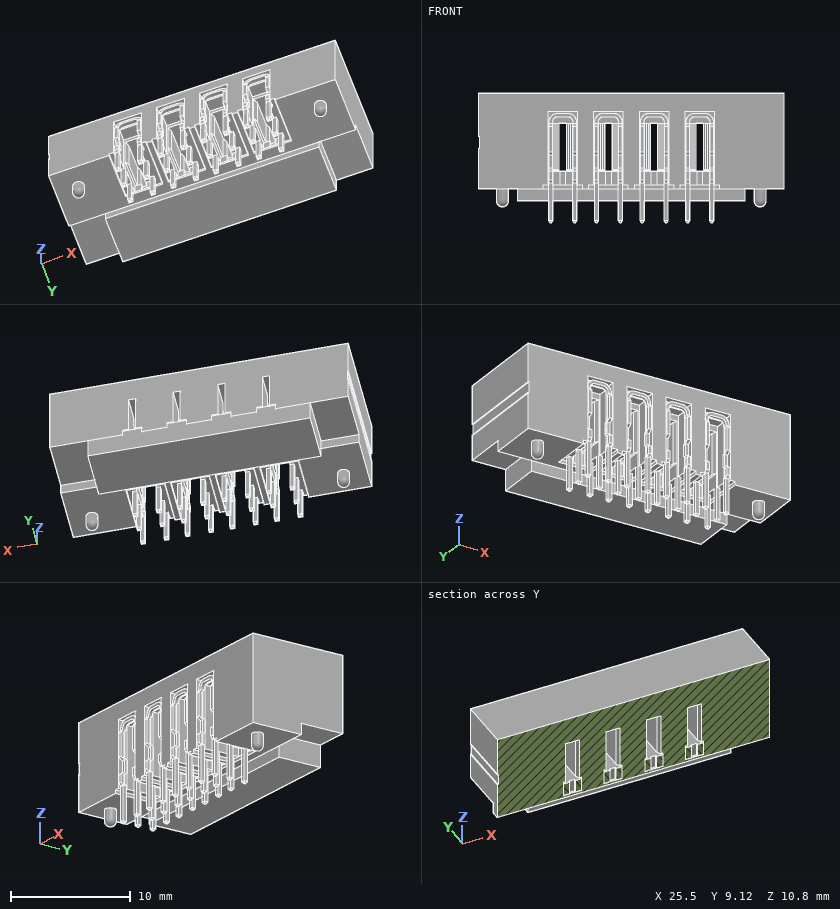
import cadquery as cq

LENGTH = 25.5
DEPTH = 9.12
HEIGHT = 8.0
OVERCUT = 1.0

STATIONS = 4
PITCH = 3.81
STATION_X = [(i - (STATIONS - 1) / 2) * PITCH for i in range(STATIONS)]

ROWS = 3
PIN_SIZE = 0.36
PIN_SPACING = 2.0
ROW_PITCH = 1.5
FIRST_ROW_Y = 0.35
PIN_FRONT_Y = FIRST_ROW_Y - PIN_SIZE / 2
ROW_Y = [FIRST_ROW_Y + i * ROW_PITCH for i in range(ROWS)]
PIN_BOTTOM = -2.82
PIN_TIP_HEIGHT = 0.17
PIN_TIP_SIZE = 0.1
PIN_TOP = 0.58
PIN_INNER_WIDTH = PIN_SPACING - PIN_SIZE

WINDOW_WIDTH = 2.46
WINDOW_TOP = 6.46
RELIEF_WIDTH = 3.3
RELIEF_HEIGHT = 0.31
RELIEF_END_Y = 4.0

ARCH_WIDTH = 2.3
ARCH_BAND = 0.3
ARCH_TOP = 6.31
ARCH_SPRING_Z = 5.5
ARCH_CORNER = 0.73
ARCH_INNER_CORNER = ARCH_CORNER - ARCH_BAND

LEG_THICKNESS = 0.3
LEG_BULGE_Y = 0.0
LEG_RECESS_Y = 0.36
UPPER_BULGE_Z = (2.95, 5.35)
LOWER_BULGE_Z = (0.62, 1.62)
LEG_BEND_HEIGHT = 0.26

WINDOW_DEPTH = LEG_RECESS_Y + LEG_THICKNESS
INNER_POCKET_WIDTH = 1.9
INNER_POCKET_DEPTH = 1.65

SLOT_TOP = 5.47
SLOT_BOTTOM = 1.6
SLOT_REAR_WIDTH = 0.6
SLOT_STEPS = 3
SLOT_SLANT_LENGTH = 0.4

INSERT_LENGTH = 19.0
INSERT_DEPTH = 4.22
INSERT_TOP = 1.0
INSERT_BOTTOM = -1.0
INSERT_FRONT_Y = DEPTH - INSERT_DEPTH
TONGUE_TOP = 1.48
TONGUE_GROOVE_WIDTH = 0.5
TONGUE_GROOVE_DEPTH = 0.3

PEG_DIAMETER = 1.0
PEG_LENGTH = 1.5
PEG_SPACING = 21.5
PEG_Y = 1.83
GROOVE_BOTTOM = 3.38
GROOVE_HEIGHT = 1.0
GROOVE_DEPTH = 0.07


def block(width, x, y_range, z_range):
    """Box of the given width centred on x, between two Y and two Z limits."""
    y_min, y_max = y_range
    z_min, z_max = z_range
    return (
        cq.Workplane("XY")
        .box(width, y_max - y_min, z_max - z_min, centered=(True, False, False))
        .translate((x, y_min, z_min))
    )


def tapered_slot(x):
    """Through slot whose side walls alternate straight and slanted stretches."""
    half_front = PIN_INNER_WIDTH / 2
    half_rear = SLOT_REAR_WIDTH / 2
    step_in = (half_front - half_rear) / SLOT_STEPS
    step_length = (DEPTH - INNER_POCKET_DEPTH) / SLOT_STEPS
    wall = [(half_front, WINDOW_DEPTH)]
    for i in range(SLOT_STEPS):
        y_start = INNER_POCKET_DEPTH + i * step_length
        wall.append((half_front - i * step_in, y_start))
        wall.append((half_front - (i + 1) * step_in, y_start + SLOT_SLANT_LENGTH))
    wall.append((half_rear, DEPTH + OVERCUT))
    mirrored = [(-half, y) for half, y in reversed(wall)]
    return (
        cq.Workplane("XY", origin=(x, 0, SLOT_BOTTOM))
        .polyline(wall + mirrored)
        .close()
        .extrude(SLOT_TOP - SLOT_BOTTOM)
    )


def station_cavity(x):
    """Everything removed from the housing at one station."""
    arch_inner_top = ARCH_TOP - ARCH_BAND
    window = block(WINDOW_WIDTH, x, (-OVERCUT, WINDOW_DEPTH), (-OVERCUT, WINDOW_TOP))
    inner = block(INNER_POCKET_WIDTH, x, (0, INNER_POCKET_DEPTH), (-OVERCUT, arch_inner_top))
    relief = block(RELIEF_WIDTH, x, (-OVERCUT, RELIEF_END_Y), (-OVERCUT, RELIEF_HEIGHT))
    front_channel = block(PIN_INNER_WIDTH, x, (0, RELIEF_END_Y), (-OVERCUT, SLOT_BOTTOM))
    rear_channel = block(PIN_INNER_WIDTH, x, (0, DEPTH + OVERCUT), (RELIEF_HEIGHT, SLOT_BOTTOM))
    cavity = window.union(inner).union(relief).union(front_channel).union(rear_channel)
    return cavity.union(tapered_slot(x))


def pin(x, y):
    """Square pin with a pyramid tip, pointing down."""
    shank_bottom = PIN_BOTTOM + PIN_TIP_HEIGHT
    y_range = (y - PIN_SIZE / 2, y + PIN_SIZE / 2)
    shank = block(PIN_SIZE, x, y_range, (shank_bottom, PIN_TOP))
    tip = (
        cq.Workplane("XY", origin=(x, y, shank_bottom))
        .rect(PIN_SIZE, PIN_SIZE)
        .workplane(offset=-PIN_TIP_HEIGHT)
        .rect(PIN_TIP_SIZE, PIN_TIP_SIZE)
        .loft()
    )
    return shank.union(tip)


def bent_leg(x):
    """Flat leg that bulges forward twice between the arch and the pin below it."""
    half_bend = LEG_BEND_HEIGHT / 2
    plain_y = PIN_FRONT_Y
    lower_start, lower_end = LOWER_BULGE_Z
    upper_start, upper_end = UPPER_BULGE_Z
    bends = [
        (plain_y, lower_start, LEG_BULGE_Y),
        (LEG_BULGE_Y, lower_end, LEG_RECESS_Y),
        (LEG_RECESS_Y, upper_start, LEG_BULGE_Y),
        (LEG_BULGE_Y, upper_end, plain_y),
    ]
    front = [(plain_y, 0)]
    for y_below, z, y_above in bends:
        front.append((y_below, z - half_bend))
        front.append((y_above, z + half_bend))
    front.append((plain_y, ARCH_SPRING_Z))
    back = [(y + LEG_THICKNESS, z) for y, z in reversed(front)]
    return (
        cq.Workplane("YZ", origin=(x - ARCH_BAND / 2, 0, 0))
        .polyline(front + back)
        .close()
        .extrude(ARCH_BAND)
    )


def arch(x):
    """Rounded arch with a bent leg on each side."""
    y_range = (PIN_FRONT_Y, PIN_FRONT_Y + PIN_SIZE)
    outer = block(ARCH_WIDTH, x, y_range, (ARCH_SPRING_Z, ARCH_TOP))
    outer = outer.edges("|Y and >Z").fillet(ARCH_CORNER)
    inner = block(ARCH_WIDTH - 2 * ARCH_BAND, x, y_range, (ARCH_SPRING_Z, ARCH_TOP - ARCH_BAND))
    inner = inner.edges("|Y and >Z").fillet(ARCH_INNER_CORNER)
    wire = outer.cut(inner)
    for side in (-1, 1):
        wire = wire.union(bent_leg(x + side * PIN_SPACING / 2))
    return wire


def peg(x):
    """Round peg with a domed end."""
    radius = PEG_DIAMETER / 2
    return (
        cq.Workplane("XY", origin=(x, PEG_Y, 0))
        .circle(radius)
        .extrude(radius - PEG_LENGTH)
        .union(cq.Workplane("XY", origin=(x, PEG_Y, radius - PEG_LENGTH)).sphere(radius))
    )


def make_housing():
    """Housing with its arches, pins and pegs as one solid."""
    housing = block(LENGTH, 0, (0, DEPTH), (0, HEIGHT))
    housing = housing.cut(block(LENGTH, 0, (INSERT_FRONT_Y, DEPTH), (0, INSERT_TOP)))
    groove_z = (GROOVE_BOTTOM, GROOVE_BOTTOM + GROOVE_HEIGHT)
    housing = housing.cut(block(2 * GROOVE_DEPTH, -LENGTH / 2, (0, DEPTH), groove_z))
    for x in STATION_X:
        housing = housing.cut(station_cavity(x))
        housing = housing.union(arch(x))
        for side in (-1, 1):
            for y in ROW_Y:
                housing = housing.union(pin(x + side * PIN_SPACING / 2, y))
    for side in (-1, 1):
        housing = housing.union(peg(side * PEG_SPACING / 2))
    return housing


def make_insert():
    """Rear block with a grooved tongue reaching into each station."""
    insert = block(INSERT_LENGTH, 0, (INSERT_FRONT_Y, DEPTH), (INSERT_BOTTOM, INSERT_TOP))
    groove_end_y = RELIEF_END_Y + TONGUE_GROOVE_DEPTH
    for x in STATION_X:
        tongue = block(PIN_INNER_WIDTH, x, (RELIEF_END_Y, DEPTH), (RELIEF_HEIGHT, TONGUE_TOP))
        groove = block(TONGUE_GROOVE_WIDTH, x, (RELIEF_END_Y, groove_end_y), (RELIEF_HEIGHT, TONGUE_TOP))
        insert = insert.union(tongue.cut(groove))
    return insert


housing = make_housing()
insert = make_insert()
result = cq.Compound.makeCompound([housing.val(), insert.val()])